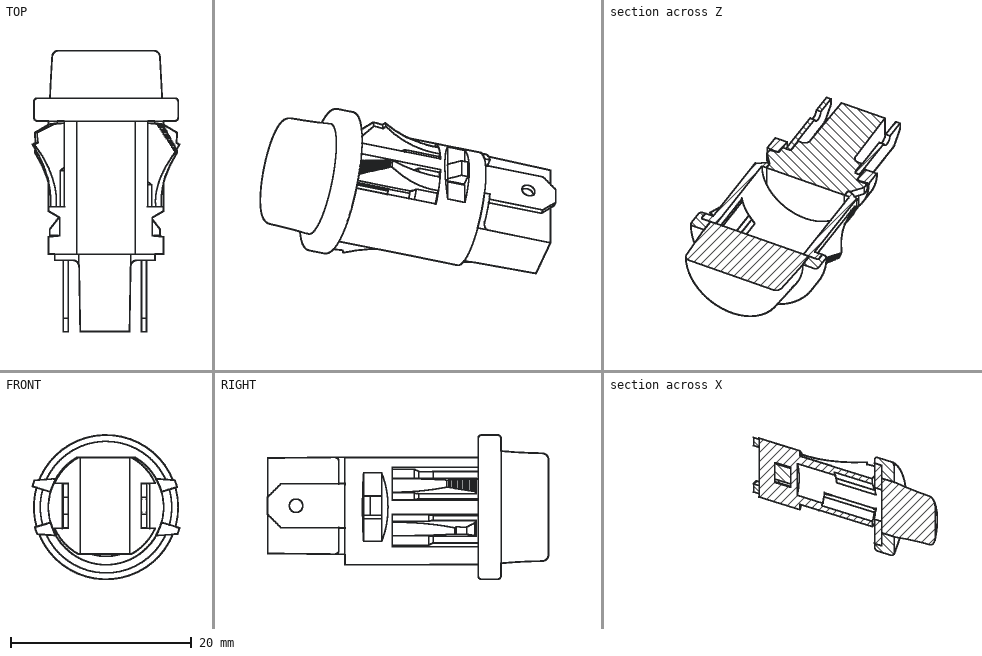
import cadquery as cq
import math


overall_length = 31.15

lens_tip_y = 7.82
lens_seat_radius = 6.23
lens_tip_radius = 5.95
lens_fillet = 0.75
bezel_radius = 8.0
bezel_front_y = 2.55
bezel_fillet = 0.4

flange_radius = 7.3
flange_front_y = 0.95
barrel_radius = 6.4
barrel_end_y = -14.73
barrel_flat_z = 5.5
bore_radius = 5.45
bore_flat_z = 5.05
rear_bore_half_width = 4.85
rear_bore_front_y = -9.8

window_end_y = -9.5
window_floor_radius = 5.98
floor_chamfer = window_floor_radius - bore_radius
long_window_floor_y = -6.55
short_window_floor_y = -4.95
window_section = [(3.1, 1.28), (7.15, 0.65), (7.15, 5.7), (3.1, 3.6)]

clip_front_y = -0.22
clip_corner = (6.55, -0.35)
clip_inner_radius = 5.6
clip_neck = (6.4, -7.95)
clip_root = (6.35, -9.65)
clip_section = [(3.1, 0.78), (9.03, 2.55), (9.03, 2.9), (3.1, 3.33)]
toothed_tip = (8.2, -3.25)
toothed_land_y = -3.45
toothed_back_mid = (7.3, -5.05)
tooth_count = 16
latched_shoulder = [(8.2, -1.28), (8.2, -1.6), (8.1, -2.4)]
latched_tip = (8.47, -2.6)
latched_back_mid = (7.35, -4.52)

notch_floor_x = 5.15
notch_mouth_front_y = -9.97
notch_floor_front_y = -10.7
notch_floor_rear_y = -12.68
notch_mouth_rear_y = -12.8
latch_hole_height = 2.55

insert_x = -0.12
insert_z = 0.15
collar_radius = 6.1
collar_end_y = -15.42
block_width = 5.73
block_height = 10.78
block_end_y = -23.3
block_end_inset_x = 0.12
block_end_inset_z = 0.1
block_fillet = 0.7
hook_reach = 6.1
hook_root_reach = 5.1
hook_inner_reach = 4.35
hook_crest_y = -11.95
hook_height = 2.12

terminal_center = 4.33
terminal_thickness = 0.6
terminal_height = 4.83
terminal_front_y = -13.7
terminal_end_y = lens_tip_y - overall_length
terminal_chamfer = 1.5
terminal_hole_diameter = 1.5
terminal_hole_y = -20.15
relief_height = 4.98

lamp_radius = 1.12
lamp_z = 2.02
lamp_front_y = 0.62


def revolved(outline):
    """Solid of revolution about Y from (radius, y) points."""
    return cq.Workplane("XY").polyline(outline).close().revolve(360, (0, 0, 0), (0, 1, 0))


def cylinder(radius, front_y, rear_y, z=0.0):
    """Cylinder along Y."""
    return cq.Workplane("XZ", origin=(0, front_y, z)).circle(radius).extrude(front_y - rear_y)


def prism(section, front_y, rear_y):
    """Prism along Y from an (x, z) section."""
    return cq.Workplane("XZ", origin=(0, front_y, 0)).polyline(section).close().extrude(front_y - rear_y)


def slab(outline, height):
    """Slab of the given height from an (x, y) outline, centred on Z = 0."""
    return cq.Workplane("XY").polyline(outline).close().extrude(height / 2, both=True)


def box_between(x_range, y_range, z_range):
    """Box between two limits along each axis."""
    size = [high - low for low, high in (x_range, y_range, z_range)]
    corner = (x_range[0], y_range[0], z_range[0])
    return cq.Workplane("XY").box(*size, centered=False).translate(corner)


def half_turn(shape):
    """Copy of a shape turned half a turn about the Y axis."""
    return shape.rotate((0, 0, 0), (0, 1, 0), 180)


def make_lens():
    """Tapered lens with a rounded rim, seated on the housing flange."""
    lens = revolved([
        (0, flange_front_y),
        (lens_seat_radius, flange_front_y),
        (lens_seat_radius, bezel_front_y),
        (lens_tip_radius, lens_tip_y),
        (0, lens_tip_y),
    ])
    return lens.faces(">Y").edges().fillet(lens_fillet)


def make_bezel():
    """Ring around the lens, recessed at the rear for the housing flange."""
    ring = cylinder(bezel_radius, bezel_front_y, 0).edges().fillet(bezel_fillet)
    ring = ring.cut(cylinder(flange_radius, flange_front_y, 0))
    return ring.cut(cylinder(lens_seat_radius, bezel_front_y, flange_front_y))


def rear_bore():
    """Solid the shape of the flat-sided rear bore, which the plug of the insert fills."""
    flat_sided = box_between(
        (-rear_bore_half_width, rear_bore_half_width),
        (barrel_end_y, rear_bore_front_y),
        (-bore_radius, bore_flat_z),
    )
    return cylinder(bore_radius, rear_bore_front_y, barrel_end_y).intersect(flat_sided)


def front_bore():
    """Solid the shape of the open bore between the lens and the insert."""
    below_flat = box_between(
        (-bore_radius, bore_radius), (rear_bore_front_y, flange_front_y), (-bore_radius, bore_flat_z)
    )
    return cylinder(bore_radius, flange_front_y, rear_bore_front_y).intersect(below_flat)


def window_cutter(floor_y):
    """Window open to the bore ahead of floor_y and closed by a chamfered floor behind it."""
    floor = revolved([
        (0, floor_y),
        (bore_radius, floor_y),
        (window_floor_radius, floor_y - floor_chamfer),
        (window_floor_radius, window_end_y),
        (0, window_end_y),
    ])
    return prism(window_section, 0, window_end_y).cut(floor)


def clip(front_points, tip, back_mid):
    """Spring clip whose back sweeps in a curve from its tip down to the barrel surface."""
    swept = (
        cq.Workplane("XY")
        .polyline([(clip_inner_radius, clip_front_y), clip_corner, *front_points, tip])
        .spline([back_mid, clip_neck, clip_root], includeCurrent=True)
        .lineTo(clip_inner_radius, clip_root[1])
        .close()
        .revolve(360, (0, 0, 0), (0, 1, 0))
    )
    return swept.intersect(prism(clip_section, 0, clip_root[1]))


def tooth_points():
    """Staircase from the front corner of the clip out to its tip."""
    step_r = (toothed_tip[0] - clip_corner[0]) / tooth_count
    step_y = (toothed_tip[1] - clip_corner[1]) / tooth_count
    points = []
    for tooth in range(tooth_count):
        radius = clip_corner[0] + tooth * step_r
        y = clip_corner[1] + (tooth + 1) * step_y
        points += [(radius, y), (radius + step_r, y)]
    return points


def notch_cutter():
    """Notch in the +X side, with a hole through its floor for the hook of the insert."""
    outside_x = barrel_radius
    notch = slab([
        (notch_floor_x, notch_floor_front_y),
        (outside_x, notch_mouth_front_y),
        (outside_x, notch_mouth_rear_y),
        (notch_floor_x, notch_floor_rear_y),
    ], 2 * barrel_radius)
    hole = box_between(
        (hook_inner_reach, notch_floor_x),
        (notch_floor_rear_y, notch_floor_front_y),
        (-latch_hole_height / 2, latch_hole_height / 2),
    )
    return notch.union(hole)


def make_housing():
    """Flanged barrel with a flat top, four windows with spring clips, and two side notches."""
    barrel = cylinder(barrel_radius, 0, barrel_end_y).intersect(box_between(
        (-barrel_radius, barrel_radius), (barrel_end_y, 0), (-barrel_radius, barrel_flat_z)
    ))
    housing = barrel.union(cylinder(flange_radius, flange_front_y, 0))
    housing = housing.cut(front_bore()).cut(rear_bore())

    toothed_window = window_cutter(long_window_floor_y)
    latched_window = window_cutter(short_window_floor_y).mirror("YZ")
    toothed_clip = clip(tooth_points(), (toothed_tip[0], toothed_land_y), toothed_back_mid)
    latched_clip = clip(latched_shoulder, latched_tip, latched_back_mid).mirror("YZ")
    notch = notch_cutter()

    for cutter in (toothed_window, latched_window, notch):
        housing = housing.cut(cutter).cut(half_turn(cutter))
    for spring in (toothed_clip, latched_clip):
        housing = housing.union(spring).union(half_turn(spring))
    return housing


def make_terminal(side):
    """Flat blade with a pointed end; side is -1 or +1 along X."""
    blade = (
        cq.Workplane("YZ", origin=(insert_x + side * terminal_center, 0, insert_z))
        .center((terminal_front_y + terminal_end_y) / 2, 0)
        .rect(terminal_front_y - terminal_end_y, terminal_height)
        .extrude(terminal_thickness / 2, both=True)
    )
    blade = blade.faces("<Y").edges("|X").chamfer(terminal_chamfer)
    hole = (
        cq.Workplane("YZ", origin=(insert_x + side * terminal_center, terminal_hole_y, insert_z))
        .circle(terminal_hole_diameter / 2)
        .extrude(terminal_thickness, both=True)
    )
    return blade.cut(hole)


def make_hook():
    """Ramped snap hook on the +X side of the insert, before it is shifted off the axis."""
    return slab([
        (hook_inner_reach, notch_floor_front_y),
        (hook_root_reach, notch_floor_front_y),
        (hook_reach, hook_crest_y),
        (hook_reach, notch_floor_rear_y),
        (hook_inner_reach, notch_floor_rear_y),
    ], hook_height)


def make_collar_and_block():
    """Collar behind the housing and the tapered block it carries, before the shift off the axis."""
    root_x = block_width / 2
    root_z = block_height / 2
    tip_x = root_x - block_end_inset_x
    tip_z = root_z - block_end_inset_z
    fillet_end_y = collar_end_y - block_fillet
    arc_reach = block_fillet * (1 - math.sqrt(0.5))
    arc_mid = (root_x + arc_reach, collar_end_y - arc_reach)

    plan = (
        cq.Workplane("XY")
        .moveTo(0, barrel_end_y)
        .lineTo(collar_radius, barrel_end_y)
        .lineTo(collar_radius, collar_end_y)
        .lineTo(root_x + block_fillet, collar_end_y)
        .threePointArc(arc_mid, (root_x, fillet_end_y))
        .lineTo(tip_x, block_end_y)
        .lineTo(0, block_end_y)
        .mirrorY()
        .extrude(root_z, both=True)
    )
    side = (
        cq.Workplane("YZ")
        .moveTo(barrel_end_y, 0)
        .lineTo(barrel_end_y, root_z)
        .lineTo(block_end_y, tip_z)
        .lineTo(block_end_y, 0)
        .mirrorX()
        .extrude(collar_radius, both=True)
    )
    return plan.intersect(side).intersect(cylinder(collar_radius, barrel_end_y, block_end_y))


def make_insert(terminals):
    """Collar, block and two hooks on a plug that fills the rear bore, with slots for the terminals."""
    body = make_collar_and_block().translate((insert_x, 0, insert_z)).union(rear_bore())
    hook = make_hook()
    for part in (hook, hook.mirror("YZ")):
        body = body.union(part.translate((insert_x, 0, insert_z)))

    relief_inner = terminal_center - terminal_thickness / 2
    relief = box_between(
        (relief_inner, collar_radius),
        (collar_end_y, terminal_front_y),
        (-relief_height / 2, relief_height / 2),
    )
    for part in (relief, relief.mirror("YZ")):
        body = body.cut(part.translate((insert_x, 0, insert_z)))
    for terminal in terminals:
        body = body.cut(terminal)
    return body


def make_lamp():
    """Lamp standing on the front of the insert, inside the housing."""
    return cylinder(lamp_radius, lamp_front_y, rear_bore_front_y, z=lamp_z)


lens = make_lens()
bezel = make_bezel()
housing = make_housing()
terminals = [make_terminal(side) for side in (-1, 1)]
insert = make_insert(terminals)
lamp = make_lamp()

result = cq.Compound.makeCompound([
    lens.val(),
    bezel.val(),
    housing.val(),
    insert.val(),
    *[terminal.val() for terminal in terminals],
    lamp.val(),
])